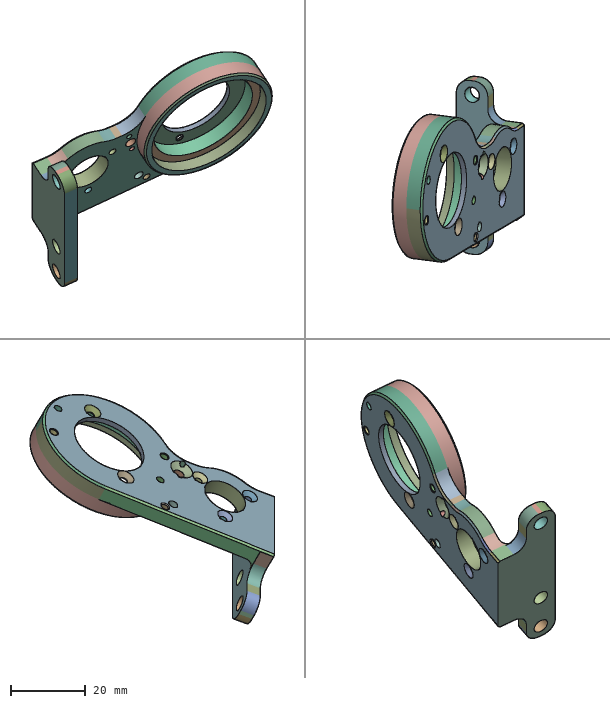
import cadquery as cq
import math


LENGTH = 68.5
HEIGHT = 52.55

PLATE_THICK = 4.5
EDGE_CHAMFER = 0.55
WAIST_Z = 38.55
FLANGE_TOP_Z = 37.5
FLANGE_BOTTOM_Z = 11.2
BLEND_RADIUS = 8.0

CUP_RADIUS = 19.5
CUP_Y = LENGTH - CUP_RADIUS
CUP_Z = HEIGHT - CUP_RADIUS
CUP_DEPTH = 9.0
CUP_BACK_CHAMFER = 0.5
CUP_BORE_RADIUS = 10.3
CUP_FLOOR = 1.5
CUP_RECESS_RADIUS = 15.0
CUP_STEP_X = 5.7
CUP_MOUTH_RADIUS = 17.4

LOBE_RADIUS = 11.6
LOBE_Y = 14.65
LOBE_Z = 28.9
LOBE_BORE_RADIUS = 6.0

FLANGE_WIDTH = 18.2
FLANGE_THICK = 4.0
FLANGE_HEIGHT = 48.85
EAR_X = CUP_DEPTH
EAR_RADIUS = 4.0
WEB_RADIUS = 2.5
MOUNT_HOLE_RADIUS = 2.1
MOUNT_HOLE_X = (EAR_X + FLANGE_WIDTH) / 2
MOUNT_HOLE_Z = [4.0, 15.2, FLANGE_HEIGHT - EAR_RADIUS]

CUP_SCREW_CIRCLE = 12.7
CUP_SCREW_ANGLES = [67.3, 247.3]
CUP_SCREW_RADIUS = 1.1
CUP_SCREW_HEAD_RADIUS = 2.4
LOBE_SCREW_CIRCLE = 8.5
LOBE_SCREW_ANGLES = [30, 150, 270]
LOBE_SCREW_RADIUS = 1.0
LOBE_SCREW_HEAD_RADIUS = 2.2

RIM_HOLE_CIRCLE = 16.8
RIM_HOLE_RADIUS = 1.1
RIM_HOLE_DEPTH = 4.0
RIM_PLAIN_ANGLES = [25.7, 205.7]
RIM_TAPPED_ANGLES = [-12.6, 167.4]
TAP_MOUTH_RADIUS = 1.3
DRILL_TIP_ANGLE = 118

PIVOT_Y = 27.55
PIVOT_Z = 33.7
PIVOT_RADIUS = 1.5
PIVOT_HEAD_RADIUS = 3.2
PIN_CIRCLE = 3.1
PIN_ANGLES = [97.6, 277.6]
PIN_RADIUS = 0.75

LOWER_HOLE = (30.0, 17.1)
LOWER_HOLE_RADIUS = 1.3
LOWER_TAPPED_HOLE = (32.4, 14.9)
LOWER_TAPPED_RADIUS = 1.0


def on_circle(y, z, radius, angle):
    """Point at an angle (degrees, from +Y towards +Z) on a circle."""
    a = math.radians(angle)
    return (y + radius * math.cos(a), z + radius * math.sin(a))


def blend_center(line_z, y, z, radius, side):
    """Centre of the blend resting on a level line and touching a circle on its given side."""
    blend_z = line_z + BLEND_RADIUS
    offset = math.sqrt((radius + BLEND_RADIUS) ** 2 - (blend_z - z) ** 2)
    return (y + side * offset, blend_z)


def touch_point(y, z, radius, blend):
    """Point where a circle touches a blend arc centred at the given point."""
    share = radius / (radius + BLEND_RADIUS)
    return (y + share * (blend[0] - y), z + share * (blend[1] - z))


def blend_middle(blend, line_point, circle_point):
    """Point halfway along the blend arc between its two ends."""
    mid_y = (line_point[0] + circle_point[0]) / 2 - blend[0]
    mid_z = (line_point[1] + circle_point[1]) / 2 - blend[1]
    stretch = BLEND_RADIUS / math.hypot(mid_y, mid_z)
    return (blend[0] + stretch * mid_y, blend[1] + stretch * mid_z)


def plate_outline():
    near = blend_center(FLANGE_TOP_Z, LOBE_Y, LOBE_Z, LOBE_RADIUS, -1)
    middle = blend_center(WAIST_Z, LOBE_Y, LOBE_Z, LOBE_RADIUS, 1)
    far = blend_center(WAIST_Z, CUP_Y, CUP_Z, CUP_RADIUS, -1)
    near_line = (near[0], FLANGE_TOP_Z)
    middle_line = (middle[0], WAIST_Z)
    far_line = (far[0], WAIST_Z)
    lobe_near = touch_point(LOBE_Y, LOBE_Z, LOBE_RADIUS, near)
    lobe_far = touch_point(LOBE_Y, LOBE_Z, LOBE_RADIUS, middle)
    cup_top = touch_point(CUP_Y, CUP_Z, CUP_RADIUS, far)

    to_corner = math.degrees(math.atan2(FLANGE_BOTTOM_Z - CUP_Z, -CUP_Y))
    distance = math.hypot(CUP_Y, FLANGE_BOTTOM_Z - CUP_Z)
    tangent_angle = to_corner + math.degrees(math.acos(CUP_RADIUS / distance))
    cup_bottom = on_circle(CUP_Y, CUP_Z, CUP_RADIUS, tangent_angle)

    return (
        cq.Workplane("YZ")
        .moveTo(0, FLANGE_BOTTOM_Z)
        .lineTo(0, FLANGE_TOP_Z)
        .lineTo(*near_line)
        .threePointArc(blend_middle(near, near_line, lobe_near), lobe_near)
        .threePointArc((LOBE_Y, LOBE_Z + LOBE_RADIUS), lobe_far)
        .threePointArc(blend_middle(middle, middle_line, lobe_far), middle_line)
        .lineTo(*far_line)
        .threePointArc(blend_middle(far, far_line, cup_top), cup_top)
        .threePointArc((CUP_Y + CUP_RADIUS, CUP_Z), cup_bottom)
        .close()
    )


def plate():
    body = plate_outline().extrude(PLATE_THICK)
    return body.faces("<X").edges("not <Y").chamfer(EDGE_CHAMFER)


def disc(y, z, radius, start, length):
    """Cylinder along +X from X = start."""
    return cq.Workplane("YZ", origin=(start, y, z)).circle(radius).extrude(length)


def cup():
    body = disc(CUP_Y, CUP_Z, CUP_RADIUS, EDGE_CHAMFER, CUP_DEPTH - EDGE_CHAMFER)
    return body.faces(">X").edges().chamfer(CUP_BACK_CHAMFER)


def flange():
    """Flange with rounded ears; its outer corner edges keep the plate's chamfer."""
    body = (
        cq.Workplane("XZ")
        .moveTo(EDGE_CHAMFER, FLANGE_BOTTOM_Z)
        .lineTo(EAR_X, FLANGE_BOTTOM_Z)
        .lineTo(EAR_X, 0)
        .lineTo(FLANGE_WIDTH, 0)
        .lineTo(FLANGE_WIDTH, FLANGE_HEIGHT)
        .lineTo(EAR_X, FLANGE_HEIGHT)
        .lineTo(EAR_X, FLANGE_TOP_Z)
        .lineTo(EDGE_CHAMFER, FLANGE_TOP_Z)
        .close()
        .extrude(-FLANGE_THICK)
        .edges("|Y and (not <X)")
        .fillet(EAR_RADIUS)
    )
    holes = (
        cq.Workplane("XZ")
        .pushPoints([(MOUNT_HOLE_X, z) for z in MOUNT_HOLE_Z])
        .circle(MOUNT_HOLE_RADIUS)
        .extrude(-FLANGE_THICK)
    )
    return body.cut(holes)


def web_fillet():
    """Concave fillet between flange and plate, trimmed to the plate's outline."""
    x_end = PLATE_THICK + WEB_RADIUS
    y_end = FLANGE_THICK + WEB_RADIUS
    reach = WEB_RADIUS * math.sqrt(0.5)
    strip = (
        cq.Workplane("XY")
        .moveTo(PLATE_THICK, FLANGE_THICK)
        .lineTo(x_end, FLANGE_THICK)
        .threePointArc((x_end - reach, y_end - reach), (PLATE_THICK, y_end))
        .close()
        .extrude(FLANGE_HEIGHT)
    )
    return strip.intersect(plate_outline().extrude(x_end))


def cone_mouth(y, z, mouth_radius, hole_radius):
    """90 degree countersink cutter opening at X = 0."""
    depth = mouth_radius - hole_radius
    cone = cq.Solid.makeCone(
        mouth_radius, hole_radius, depth, cq.Vector(0, y, z), cq.Vector(1, 0, 0)
    )
    return cq.Workplane(cone)


def through_hole(y, z, radius):
    return disc(y, z, radius, 0, PLATE_THICK)


def countersunk_hole(y, z, radius, mouth_radius):
    return through_hole(y, z, radius).union(cone_mouth(y, z, mouth_radius, radius))


def blind_hole(y, z):
    """Drilled hole in the cup wall with a conical bottom."""
    tip = RIM_HOLE_RADIUS / math.tan(math.radians(DRILL_TIP_ANGLE / 2))
    cone = cq.Solid.makeCone(
        RIM_HOLE_RADIUS, 0, tip, cq.Vector(RIM_HOLE_DEPTH, y, z), cq.Vector(1, 0, 0)
    )
    return disc(y, z, RIM_HOLE_RADIUS, 0, RIM_HOLE_DEPTH).union(cq.Workplane(cone))


def hole_cutters():
    cutters = [
        disc(CUP_Y, CUP_Z, CUP_BORE_RADIUS, 0, CUP_DEPTH),
        disc(CUP_Y, CUP_Z, CUP_RECESS_RADIUS, CUP_FLOOR, CUP_DEPTH - CUP_FLOOR),
        disc(CUP_Y, CUP_Z, CUP_MOUTH_RADIUS, CUP_STEP_X, CUP_DEPTH - CUP_STEP_X),
        through_hole(LOBE_Y, LOBE_Z, LOBE_BORE_RADIUS),
        countersunk_hole(PIVOT_Y, PIVOT_Z, PIVOT_RADIUS, PIVOT_HEAD_RADIUS),
        through_hole(*LOWER_HOLE, LOWER_HOLE_RADIUS),
        countersunk_hole(*LOWER_TAPPED_HOLE, LOWER_TAPPED_RADIUS, TAP_MOUTH_RADIUS),
    ]
    for angle in CUP_SCREW_ANGLES:
        y, z = on_circle(CUP_Y, CUP_Z, CUP_SCREW_CIRCLE, angle)
        cutters.append(countersunk_hole(y, z, CUP_SCREW_RADIUS, CUP_SCREW_HEAD_RADIUS))
    for angle in LOBE_SCREW_ANGLES:
        y, z = on_circle(LOBE_Y, LOBE_Z, LOBE_SCREW_CIRCLE, angle)
        cutters.append(countersunk_hole(y, z, LOBE_SCREW_RADIUS, LOBE_SCREW_HEAD_RADIUS))
    for angle in PIN_ANGLES:
        y, z = on_circle(PIVOT_Y, PIVOT_Z, PIN_CIRCLE, angle)
        cutters.append(through_hole(y, z, PIN_RADIUS))
    for angle in RIM_PLAIN_ANGLES + RIM_TAPPED_ANGLES:
        y, z = on_circle(CUP_Y, CUP_Z, RIM_HOLE_CIRCLE, angle)
        cutters.append(blind_hole(y, z))
    for angle in RIM_TAPPED_ANGLES:
        y, z = on_circle(CUP_Y, CUP_Z, RIM_HOLE_CIRCLE, angle)
        cutters.append(cone_mouth(y, z, TAP_MOUTH_RADIUS, RIM_HOLE_RADIUS))
    return cutters


result = plate().union(cup()).union(flange()).union(web_fillet())
for cutter in hole_cutters():
    result = result.cut(cutter)